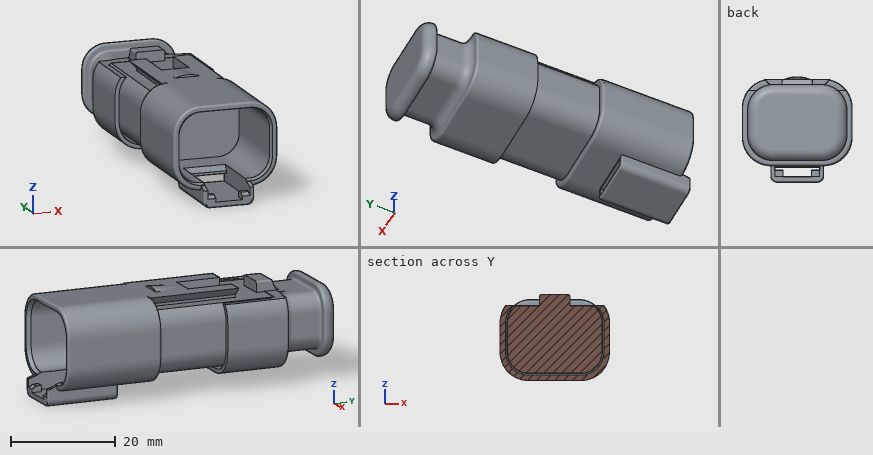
import math

import cadquery as cq

width = 20.95
height = 16.5
corner_radius = 5.5
half_width = width / 2
half_height = height / 2
edge_round = 0.5

shroud_length = 19.4
shroud_wall = 1.3
cavity_depth = 18.0
lead_in_depth = 0.3
lead_in_length = 0.9
mouth_round = 0.45

core_inset = 1.4
flat_top_z = 6.15
core_top_z = flat_top_z - 0.05

collar_front_y = 33.2
collar_rear_y = 46.05
collar_wall = 0.82
gap_end_y = 44.2
gap_end_taper = 1.2

flange_rear_y = 56.45
flange_length = 2.56
flange_overhang = 1.6
flange_rear_round = 2.0
neck_half_width = 7.88
neck_half_height = 5.65
neck_radius = 3.3
flare_radius = 1.9
flange_root_round = 0.5

rail_rear_y = 37.4
rail_half_width = 6.24
rail_undercut = 1.6
rail_foot_height = 0.5
rail_slot_half_width = 2.75
rail_slot_front_y = 28.4

block_half_width = 2.93
block_front_y = 42.5
block_toe_y = 48.65
block_side_round = 0.4

pointer_front_y = 21.8
pointer_peak_y = 22.66
pointer_tip_y = 27.75
pointer_half_width = 2.4
pointer_rise = 0.47

latch_front_y = -1.85
latch_rear_y = 12.7
latch_half_width = 5.05
latch_side_wall = 0.8
latch_bottom_z = -11.41
latch_floor = 1.09
latch_corner_round = 1.3
latch_edge_round = 0.3
latch_nose_z = -8.0
latch_slope_rear_y = 1.3

ramp_top_y = 12.1
ramp_bottom_y = 11.5
ramp_bottom_z = -8.05
ramp_lip_z = -8.56

lug_inner_x = 2.68
lug_length = 2.0
lug_top_z = -9.08
lug_nose_z = -9.62
lug_slope_length = 0.95

cavity_half_height = half_height - shroud_wall
overlap = 0.5


def rounded_bar(half_x, half_z, radius, front_y, rear_y):
    """Bar along Y with a rounded rectangular section centred on the Y axis."""
    return (
        cq.Workplane("XZ", origin=(0, front_y, 0))
        .rect(2 * half_x, 2 * half_z)
        .extrude(front_y - rear_y)
        .edges("|Y")
        .fillet(radius)
    )


def inset_bar(inset, front_y, rear_y):
    """Bar along Y whose section is the outer envelope offset inwards."""
    return rounded_bar(half_width - inset, half_height - inset, corner_radius - inset, front_y, rear_y)


def box_between(x_range, y_range, z_range):
    """Axis-aligned box given by its limits."""
    sizes = [high - low for low, high in (x_range, y_range, z_range)]
    corner = (x_range[0], y_range[0], z_range[0])
    return cq.Workplane("XY").box(*sizes, centered=False).translate(corner)


def side_profile(points, x_start, x_end):
    """Prism along X from a closed (y, z) outline."""
    return cq.Workplane("YZ", origin=(x_start, 0, 0)).polyline(points).close().extrude(x_end - x_start)


def make_shroud():
    shroud = inset_bar(0, 0, shroud_length)
    shroud = shroud.faces(">Y").edges().fillet(edge_round)
    return shroud.faces("<Y").edges().fillet(mouth_round)


def make_cavity():
    """Blind cavity that widens towards the mouth in a shallow lead-in taper."""
    cavity = inset_bar(shroud_wall, 0, cavity_depth)
    lead_in = inset_bar(shroud_wall - lead_in_depth, -overlap, lead_in_length)
    lead_in = lead_in.faces(">Y").edges().chamfer(lead_in_length, lead_in_depth)
    return cavity.union(lead_in)


def make_collar_and_neck():
    flange_front_y = flange_rear_y - flange_length
    collar = inset_bar(0, collar_front_y, collar_rear_y).faces(">Y").edges().fillet(edge_round)
    neck = rounded_bar(
        neck_half_width, neck_half_height, neck_radius, collar_rear_y - overlap, flange_front_y + overlap
    )
    flange = rounded_bar(
        neck_half_width + flange_overhang,
        neck_half_height + flange_overhang,
        neck_radius + flange_overhang,
        flange_front_y,
        flange_rear_y,
    )
    flange = flange.faces(">Y").edges().fillet(flange_rear_round)
    flange = flange.faces("<Y").edges().fillet(edge_round)
    body = collar.union(neck).union(flange)

    def neck_root(y):
        margin = 0.05
        half_x = neck_half_width + margin
        half_z = neck_half_height + margin
        return cq.selectors.BoxSelector(
            (-half_x, y - margin, -half_z), (half_x, y + margin, half_z), boundingbox=True
        )

    body = body.edges(neck_root(collar_rear_y)).fillet(flare_radius)
    body = body.edges(neck_root(flange_front_y)).fillet(flange_root_round)

    gap_width = core_inset - collar_wall
    gap = inset_bar(collar_wall, collar_front_y, gap_end_y)
    gap = gap.faces(">Y").edges().chamfer(gap_end_taper, gap_width)
    body = body.cut(gap)

    above_flat = box_between(
        (-half_width, half_width), (collar_front_y, collar_rear_y + flare_radius), (flat_top_z, height)
    )
    return body.cut(above_flat)


def make_core():
    """Core whose flat top lies slightly below the collar flat, up to the rear end of the gap."""
    core = inset_bar(core_inset, cavity_depth + overlap, collar_rear_y - overlap)
    above_core = box_between((-half_width, half_width), (0, gap_end_y), (core_top_z, height))
    above_collar = box_between((-half_width, half_width), (gap_end_y, collar_rear_y), (flat_top_z, height))
    return core.cut(above_core).cut(above_collar)


def make_rail():
    waist_x = rail_half_width - rail_undercut
    right_side = [
        (waist_x, flat_top_z - overlap),
        (waist_x, flat_top_z + rail_foot_height),
        (rail_half_width, half_height),
    ]
    left_side = [(-x, z) for x, z in reversed(right_side)]
    front_y = shroud_length - edge_round
    rail = (
        cq.Workplane("XZ", origin=(0, front_y, 0))
        .polyline(right_side + left_side)
        .close()
        .extrude(front_y - rail_rear_y)
    )
    slot = box_between(
        (-rail_slot_half_width, rail_slot_half_width), (rail_slot_front_y, rail_rear_y), (core_top_z, height)
    )
    return rail.cut(slot)


def make_stop_block():
    """Block whose rear sweeps down to the neck in a concave arc."""
    sweep_radius = block_toe_y - collar_rear_y
    sweep_center_z = neck_half_height + sweep_radius
    crest_center_z = half_height - edge_round
    tilt = math.asin((sweep_center_z - crest_center_z) / (sweep_radius + edge_round))
    crest_y = block_toe_y - (sweep_radius + edge_round) * math.cos(tilt)

    def sweep_point(angle):
        return block_toe_y - sweep_radius * math.cos(angle), sweep_center_z - sweep_radius * math.sin(angle)

    def crest_point(angle):
        return crest_y + edge_round * math.cos(angle), crest_center_z + edge_round * math.sin(angle)

    right_angle = math.pi / 2
    base_z = neck_half_height - overlap
    block = (
        cq.Workplane("YZ", origin=(-block_half_width, 0, 0))
        .moveTo(block_front_y, base_z)
        .lineTo(block_toe_y, base_z)
        .lineTo(block_toe_y, neck_half_height)
        .threePointArc(sweep_point((right_angle + tilt) / 2), sweep_point(tilt))
        .threePointArc(crest_point((right_angle + tilt) / 2), (crest_y, half_height))
        .lineTo(block_front_y, half_height)
        .close()
        .extrude(2 * block_half_width)
    )
    return block.faces(">Z").edges("|Y").fillet(block_side_round)


def make_pointer():
    """Low barrel-topped pointer: level at its front, then sinking into the rail."""
    radius = (pointer_half_width**2 + pointer_rise**2) / (2 * pointer_rise)
    axis_z = half_height + pointer_rise - radius
    barrel = (
        cq.Workplane("XZ", origin=(0, pointer_front_y, axis_z))
        .circle(radius)
        .extrude(pointer_front_y - pointer_peak_y)
    )
    tail = (
        cq.Workplane("XZ", origin=(0, pointer_peak_y, axis_z))
        .circle(radius)
        .workplane(offset=pointer_peak_y - pointer_tip_y)
        .center(0, -pointer_rise)
        .circle(radius)
        .loft(ruled=True)
    )
    keep = box_between(
        (-pointer_half_width, pointer_half_width),
        (pointer_front_y, pointer_tip_y),
        (half_height - shroud_wall, height),
    )
    return barrel.union(tail).intersect(keep)


def make_latch_shell():
    """Solid outline of the latch channel, with a sloping top ahead of the shroud."""
    top_z = -cavity_half_height
    shell = box_between(
        (-latch_half_width, latch_half_width), (latch_front_y, latch_rear_y), (latch_bottom_z, top_z)
    )
    shell = shell.edges("|Y and <Z").fillet(latch_corner_round)
    shell = shell.faces("<Y or >Y").edges("not >Z").fillet(latch_edge_round)
    nose_cut = [(latch_slope_rear_y, top_z), (latch_front_y, latch_nose_z), (latch_front_y, top_z)]
    return shell.cut(side_profile(nose_cut, -latch_half_width, latch_half_width))


def make_latch_channel():
    """Space inside the latch, open to the cavity above and at both ends."""
    inner_x = latch_half_width - latch_side_wall
    floor_z = latch_bottom_z + latch_floor
    top_z = -cavity_half_height + overlap
    outline = [
        (latch_front_y, floor_z),
        (latch_rear_y, floor_z),
        (latch_rear_y, ramp_lip_z),
        (ramp_bottom_y, ramp_lip_z),
        (ramp_bottom_y, ramp_bottom_z),
        (ramp_top_y, -cavity_half_height),
        (ramp_top_y, top_z),
        (latch_front_y, top_z),
    ]
    return side_profile(outline, -inner_x, inner_x)


def make_lug(side):
    """Catch lug in one corner of the latch mouth, side = -1 or +1."""
    outer_x = latch_half_width - latch_side_wall / 2
    base_z = latch_bottom_z + latch_floor / 2
    outline = [
        (latch_front_y, base_z),
        (latch_front_y, lug_nose_z),
        (latch_front_y + lug_slope_length, lug_top_z),
        (latch_front_y + lug_length, lug_top_z),
        (latch_front_y + lug_length, base_z),
    ]
    return side_profile(outline, side * lug_inner_x, side * outer_x)


result = make_shroud().union(make_latch_shell()).cut(make_cavity()).cut(make_latch_channel())
for lug_side in (-1, 1):
    result = result.union(make_lug(lug_side))
for feature in (make_collar_and_neck(), make_core(), make_rail(), make_stop_block(), make_pointer()):
    result = result.union(feature)